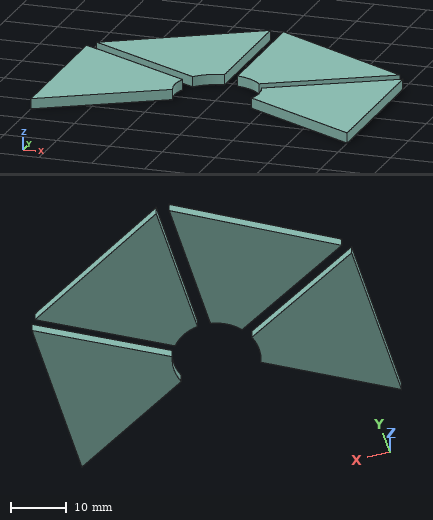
import cadquery as cq
import math

width = 60.0
thickness = 2.0
gap = 2.4
bore_radius = 8.0
shoulder_y = 17.0

half_width = width / 2
regular_half_side = half_width * math.tan(math.radians(30))
top_y = 2 * regular_half_side

corners = [
    (half_width, -regular_half_side),
    (half_width, shoulder_y),
    (0, top_y),
    (-half_width, shoulder_y),
    (-half_width, -regular_half_side),
]


def make_gap_bar(corner):
    """Bar of one gap's width, centred on the ray through a hexagon corner."""
    corner_x, corner_y = corner
    direction = math.degrees(math.atan2(corner_y, corner_x))
    bar = cq.Workplane("XY").box(width, gap, thickness, centered=(False, True, False))
    return bar.rotate((0, 0, 0), (0, 0, 1), direction)


def make_sector(first_corner, second_corner):
    """Triangle from the centre to two corners, trimmed by its gaps and the bore."""
    triangle = [(0, 0), first_corner, second_corner]
    plate = cq.Workplane("XY").polyline(triangle).close().extrude(thickness)
    bore = cq.Workplane("XY").circle(bore_radius).extrude(thickness)
    for cutter in (bore, make_gap_bar(first_corner), make_gap_bar(second_corner)):
        plate = plate.cut(cutter)
    return plate


sectors = [make_sector(first, second) for first, second in zip(corners, corners[1:])]

result = cq.Compound.makeCompound([sector.val() for sector in sectors])